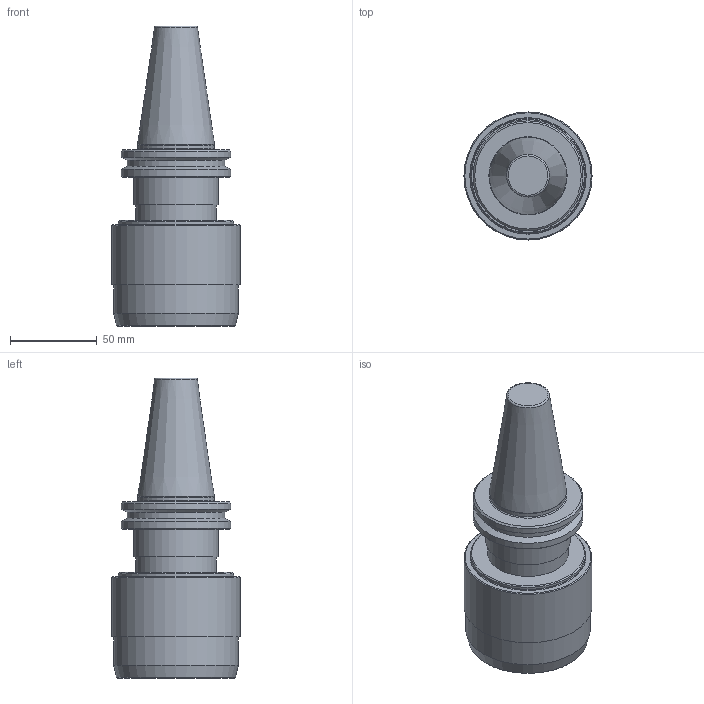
import cadquery as cq


gauge_radius = 44.45 / 2
taper_length = 68.4
taper_ratio = 7 / 24
taper_tip_radius = gauge_radius - taper_length * taper_ratio / 2
tip_fillet = 1.0

relief_radius = gauge_radius - 0.2
relief_step_height = 0.4
relief_root_fillet = 0.6

flange_radius = 63.55 / 2
flange_top_z = -3.2
flange_bottom_z = -19.1
flange_top_chamfer = 1.0
flange_bottom_chamfer = 0.7

groove_root_radius = 56.25 / 2
groove_centre_z = -11.0
groove_root_half_width = 1.75
groove_mouth_half_width = 3.5

upper_neck_radius = 49.0 / 2
upper_neck_bottom_z = -35.0
lower_neck_radius = 46.5 / 2

collar_radius = 66.5 / 2
collar_top_z = -44.0
collar_chamfer = 0.6
collar_root_fillet = 0.4

body_radius = 74.0 / 2
body_top_z = -46.5
body_bottom_z = -81.3
body_chamfer = 0.5
nose_radius = 72.0 / 2
nose_cone_top_z = -97.5
nose_end_radius = 68.5 / 2
nose_end_z = -105.0
nose_end_chamfer = 0.3


def ring_edge(radius, z):
    """Selector for the circular edge of the given radius at height z."""
    reach = 0.05
    return cq.selectors.BoxSelector(
        (-radius - reach, -radius - reach, z - reach),
        (radius + reach, radius + reach, z + reach),
        boundingbox=True,
    ) - cq.selectors.BoxSelector(
        (-radius + reach, -radius + reach, z - reach),
        (radius - reach, radius - reach, z + reach),
        boundingbox=True,
    )


def turned_blank():
    """Revolve the sharp-cornered half profile about Z."""
    profile = [
        (0, taper_length),
        (taper_tip_radius, taper_length),
        (gauge_radius, 0),
        (relief_radius, -relief_step_height),
        (relief_radius, flange_top_z),
        (flange_radius, flange_top_z),
        (flange_radius, groove_centre_z + groove_mouth_half_width),
        (groove_root_radius, groove_centre_z + groove_root_half_width),
        (groove_root_radius, groove_centre_z - groove_root_half_width),
        (flange_radius, groove_centre_z - groove_mouth_half_width),
        (flange_radius, flange_bottom_z),
        (upper_neck_radius, flange_bottom_z),
        (upper_neck_radius, upper_neck_bottom_z),
        (lower_neck_radius, upper_neck_bottom_z),
        (lower_neck_radius, collar_top_z),
        (collar_radius, collar_top_z),
        (collar_radius, body_top_z),
        (body_radius, body_top_z),
        (body_radius, body_bottom_z),
        (nose_radius, body_bottom_z),
        (nose_radius, nose_cone_top_z),
        (nose_end_radius, nose_end_z),
        (0, nose_end_z),
    ]
    points = [(-radius, z) for radius, z in profile]
    return cq.Workplane("XZ").polyline(points).close().revolve(360, (0, 0, 0), (0, 1, 0))


def break_edges(part):
    """Round the shank tip and inner corners, and chamfer the outer rims."""
    fillets = [
        (taper_tip_radius, taper_length, tip_fillet),
        (relief_radius, flange_top_z, relief_root_fillet),
        (collar_radius, body_top_z, collar_root_fillet),
    ]
    chamfers = [
        (flange_radius, flange_top_z, flange_top_chamfer),
        (collar_radius, collar_top_z, collar_chamfer),
        (flange_radius, flange_bottom_z, flange_bottom_chamfer),
        (body_radius, body_top_z, body_chamfer),
        (nose_end_radius, nose_end_z, nose_end_chamfer),
    ]
    for radius, z, size in fillets:
        part = part.edges(ring_edge(radius, z)).fillet(size)
    for radius, z, size in chamfers:
        part = part.edges(ring_edge(radius, z)).chamfer(size)
    return part


result = break_edges(turned_blank())